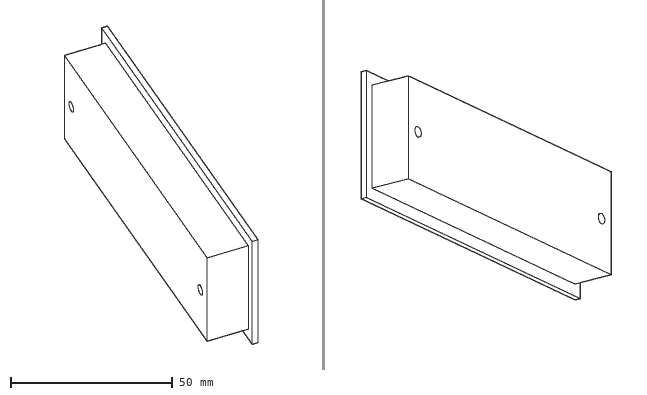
import cadquery as cq
import math

flange_length = 112.0
flange_height = 42.0
flange_thickness = 2.0

total_depth = 16.0
body_length = 106.2
body_height = 34.0
body_depth = total_depth - flange_thickness

hole_spacing = 96.0
hole_diameter = 3.4
hole_depth = 10.0
drill_tip_angle = 118.0


def front_box(length, depth, height, front_y):
    """Box centred in X and Z whose front face lies at front_y."""
    return cq.Workplane("XY").box(length, depth, height, centered=(True, False, True)).translate((0, front_y, 0))


def drilled_hole(x):
    """Cutter for a blind hole with a conical bottom, running along +Y from the front face."""
    radius = hole_diameter / 2
    tip_length = radius / math.tan(math.radians(drill_tip_angle / 2))
    return (
        cq.Workplane("XY")
        .polyline([(0, 0), (radius, 0), (radius, hole_depth), (0, hole_depth + tip_length)])
        .close()
        .revolve(360, (0, 0, 0), (0, 1, 0))
        .translate((x, 0, 0))
    )


body = front_box(body_length, body_depth, body_height, 0)
flange = front_box(flange_length, flange_thickness, flange_height, body_depth)

result = body.union(flange)
for side in (-1, 1):
    result = result.cut(drilled_hole(side * hole_spacing / 2))